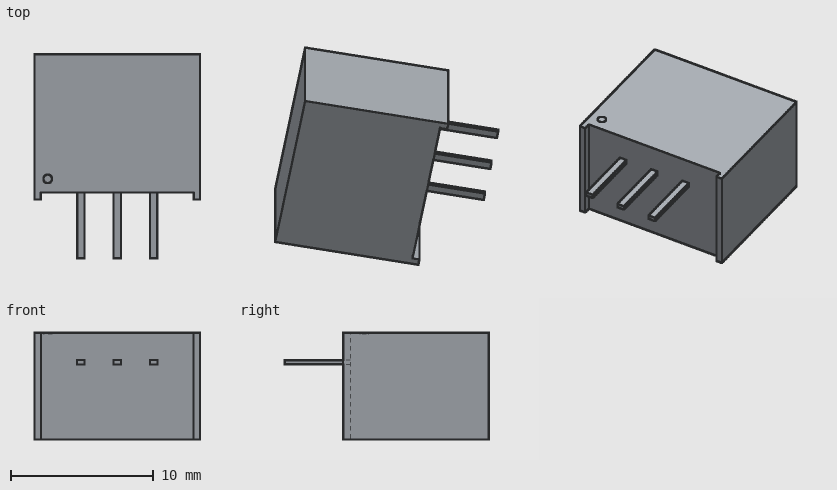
import cadquery as cq

housing_width = 11.6
housing_height = 7.5
housing_length = 10.2
side_wall = 0.45
recess_depth = 0.5

overall_length = 14.3
pin_count = 3
pin_pitch = 2.55
pin_width = 0.53
pin_thickness = 0.3
pin_drop = 2.07

marker_diameter = 0.6
marker_depth = 0.1
marker_side_offset = 0.93
marker_front_offset = 1.46

pin_tip_y = housing_length - overall_length
pin_length = recess_depth - pin_tip_y
pin_centre_z = housing_height - pin_drop
marker_x = marker_side_offset - housing_width / 2
marker_bottom_z = housing_height - marker_depth


def make_housing():
    block = cq.Workplane("XY").box(
        housing_width, housing_length, housing_height, centered=(True, False, False)
    )
    recess = cq.Workplane("XY").box(
        housing_width - 2 * side_wall, recess_depth, housing_height, centered=(True, False, False)
    )
    return block.cut(recess)


def make_pin(index):
    """One lead, butted against the recessed face."""
    pin_x = (index - (pin_count - 1) / 2) * pin_pitch
    return (
        cq.Workplane("XY")
        .box(pin_width, pin_length, pin_thickness, centered=(True, False, True))
        .translate((pin_x, pin_tip_y, pin_centre_z))
    )


def make_marker():
    return (
        cq.Workplane("XY", origin=(marker_x, marker_front_offset, marker_bottom_z))
        .circle(marker_diameter / 2)
        .extrude(marker_depth)
    )


marker = make_marker()
housing = make_housing().cut(marker)
pins = [make_pin(index) for index in range(pin_count)]

result = cq.Compound.makeCompound(
    [housing.val(), marker.val(), *[pin.val() for pin in pins]]
)